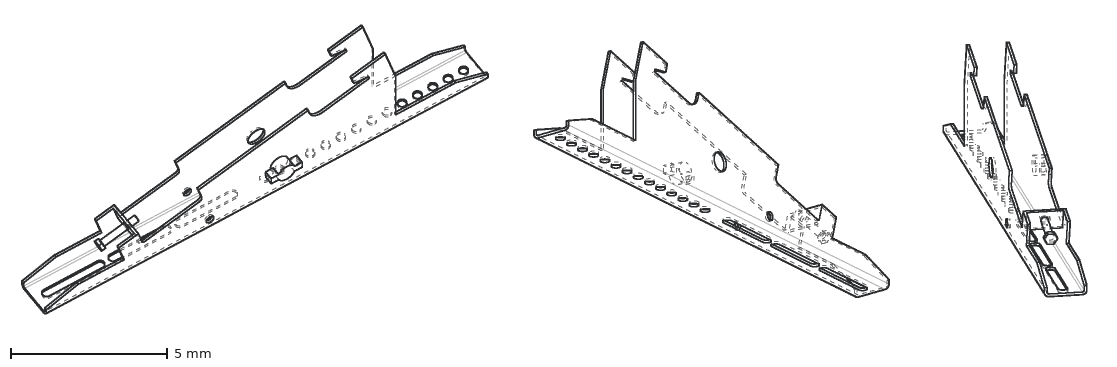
import cadquery as cq
import math

length = 17.0
width = 1.4
thickness = 0.094
bend_radius = 0.15
end_height = 0.3
rail_height = 0.76
end_slope_length = 1.24
half_length = length / 2
half_width = width / 2

incline = 15.0
apex_y = 4.55
apex_z = 4.3
wall_back_y = 4.95
pocket_depth = 0.65

hook_length = 1.35
hook_thickness = 0.32
throat_start = 0.82
throat_height = 0.1
ramp_start = 3.08
ramp_end = 7.45
tab_start = 9.85
tab_end = 10.62
ramp_back_radius = 0.4
ramp_front_radius = 0.15
tab_radius = 0.07

opening_width = 0.3
hole_count = 14
first_hole_y = 8.02
last_hole_y = 0.34
slot_count = 3
slot_length = 2.36
slot_pitch = 2.55
first_slot_y = -1.89

cross_hole_diameter = 0.29
cross_hole_y = -2.2
cross_hole_z = 0.46
pivot_y = 0.46
pivot_z = 1.48
pivot_hole_diameter = 0.65

knob_length = 0.45
knob_diameter = 0.66
wing_depth = 0.32
wing_span = 1.19
wing_thickness = 0.27

plate_thickness = 0.1
plate_height = 0.66
screw_drop = 0.34
screw_start = 9.52
screw_end = 11.05
screw_diameter = 0.24
head_across_corners = 0.45
head_thickness = 0.14

cos_incline = math.cos(math.radians(incline))
sin_incline = math.sin(math.radians(incline))


def on_incline(along, below):
    """(Y, Z) of a point a distance along the incline and square below it."""
    y = apex_y - along * cos_incline + below * sin_incline
    z = apex_z - along * sin_incline - below * cos_incline
    return y, z


def extrude_across(sketch_points, start_x, depth):
    """Prism along X from a closed (Y, Z) outline."""
    return cq.Workplane("YZ", origin=(start_x, 0, 0)).polyline(sketch_points).close().extrude(depth)


def cylinder_across(y, z, diameter, start_x, depth):
    return cq.Workplane("YZ", origin=(start_x, y, z)).circle(diameter / 2).extrude(depth)


def make_wall_envelope():
    """Side outline of the walls, extruded over the full channel width."""
    tab_foot_drop = (on_incline(tab_end, 0)[1] - rail_height) / cos_incline
    back_drop = (wall_back_y - apex_y) / sin_incline
    outline = [
        (-half_length, 0),
        (half_length, 0),
        (half_length, end_height),
        (half_length - end_slope_length, rail_height),
        (wall_back_y, rail_height),
        on_incline(0, back_drop),
        on_incline(0, 0),
        on_incline(hook_length, 0),
        on_incline(hook_length, hook_thickness),
        on_incline(throat_start, pocket_depth - throat_height),
        on_incline(throat_start, pocket_depth),
        on_incline(ramp_start, pocket_depth),
        on_incline(ramp_start, 0),
        on_incline(ramp_end, 0),
        on_incline(ramp_end, pocket_depth),
        on_incline(tab_start, pocket_depth),
        on_incline(tab_start, 0),
        on_incline(tab_end, 0),
        on_incline(tab_end, tab_foot_drop),
        (-half_length + end_slope_length, rail_height),
        (-half_length, end_height),
    ]
    envelope = extrude_across(outline, -half_width, width)

    pocket_corners = [
        (ramp_start, ramp_back_radius),
        (ramp_end, ramp_front_radius),
        (tab_start, tab_radius),
    ]
    for along, radius in pocket_corners:
        y, z = on_incline(along, pocket_depth)
        corner = cq.selectors.NearestToPointSelector((0, y, z))
        envelope = envelope.edges("|X").edges(corner).fillet(radius)
    return envelope


def make_channel():
    """U section with bent corners, trimmed to the side outline."""
    outer = cq.Workplane("XY").box(width, length, apex_z, centered=(True, True, False))
    outer = outer.edges("|Y and <Z").fillet(bend_radius)
    inner = cq.Workplane("XY", origin=(0, 0, thickness)).box(
        width - 2 * thickness, length, apex_z, centered=(True, True, False)
    )
    inner = inner.edges("|Y and <Z").fillet(bend_radius - thickness)
    return outer.cut(inner).intersect(make_wall_envelope())


def make_floor_openings():
    hole_pitch = (first_hole_y - last_hole_y) / (hole_count - 1)
    hole_points = [(0, first_hole_y - i * hole_pitch) for i in range(hole_count)]
    slot_points = [(0, first_slot_y - i * slot_pitch) for i in range(slot_count)]
    holes = cq.Workplane("XY").pushPoints(hole_points).circle(opening_width / 2).extrude(thickness)
    slots = cq.Workplane("XY").pushPoints(slot_points).slot2D(slot_length, opening_width, 90).extrude(thickness)
    return holes.union(slots)


def make_wing_knob():
    barrel = cylinder_across(pivot_y, pivot_z, knob_diameter, half_width, knob_length)
    wing_x = half_width + knob_length - wing_depth
    wing_plane = cq.Workplane("YZ", origin=(wing_x, pivot_y, pivot_z))
    wing = wing_plane.rect(wing_span, wing_thickness).extrude(wing_depth)
    return barrel.union(wing)


def make_stop_plate():
    outline = [
        on_incline(tab_start, 0),
        on_incline(tab_start + plate_thickness, 0),
        on_incline(tab_start + plate_thickness, plate_height),
        on_incline(tab_start, plate_height),
    ]
    inner_width = width - 2 * thickness
    return extrude_across(outline, -inner_width / 2, inner_width)


def screw_plane(along):
    """Plane square to the screw axis, facing down the incline."""
    y, z = on_incline(along, screw_drop)
    return cq.Plane(origin=(0, y, z), xDir=(1, 0, 0), normal=(0, -cos_incline, -sin_incline))


def make_screw():
    shank = cq.Workplane(screw_plane(screw_start)).circle(screw_diameter / 2).extrude(screw_end - screw_start)
    head_plane = screw_plane(screw_end - head_thickness)
    head = cq.Workplane(head_plane).polygon(6, head_across_corners).extrude(head_thickness)
    return shank.union(head)


channel = make_channel().cut(make_floor_openings())
channel = channel.cut(cylinder_across(cross_hole_y, cross_hole_z, cross_hole_diameter, -half_width, width))
channel = channel.cut(cylinder_across(pivot_y, pivot_z, pivot_hole_diameter, -half_width, thickness))

result = channel.union(make_wing_knob()).union(make_stop_plate()).union(make_screw())